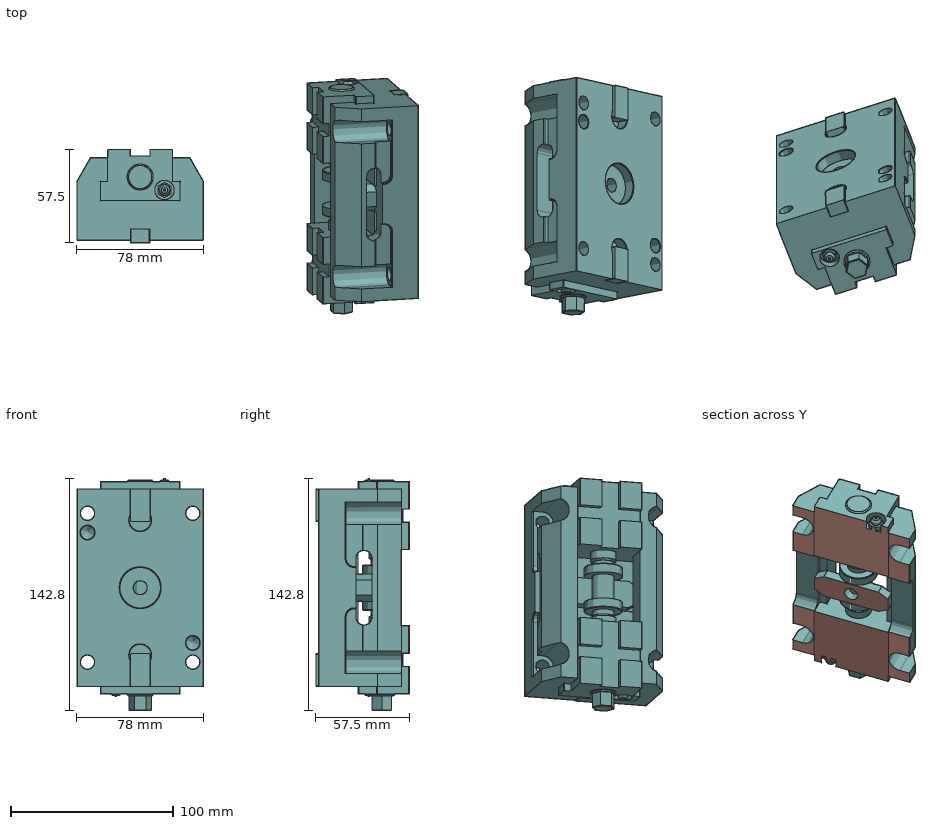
import cadquery as cq
import math


EDGE = 0.4
MOUTH_ANGLE = 45

HOUSING_WIDTH = 78.0
HOUSING_DEPTH = 51.0
HOUSING_LENGTH = 121.8
BEVEL_WIDTH = 8.4
BEVEL_DEPTH = 14.7

HEAD_WIDTH = 40.0
FLANGE_WIDTH = 49.1
FLANGE_BOTTOM = 24.4
FLANGE_TOP = 36.3

JAW_TOP = 56.0
JAW_LENGTH = 42.0
JAW_CENTER_Z = 44.4
JAW_OUTER_Z = JAW_CENTER_Z + JAW_LENGTH / 2
JAW_GROOVE_DEPTH = 4.0
LONG_GROOVE_WIDTH = 12.0
CROSS_GROOVE_WIDTH = 8.0

NIPPLE_X = 15.0
NIPPLE_Y = 31.0
NIPPLE_RECESS_DIAMETER = 12.0
NIPPLE_RECESS_DEPTH = 5.7
NIPPLE_HEX_FLATS = 8.0
NIPPLE_HEX_HEIGHT = 2.9
NIPPLE_NECK_DIAMETER = 5.0
NIPPLE_HEAD_RADIUS = 3.0
NIPPLE_NOSE_RADIUS = 2.0
NIPPLE_NOSE_RISE = 0.9
NIPPLE_TIP_RADIUS = 0.5
NIPPLE_TIP_RISE = 1.7

SPINDLE_Y = 39.0
THREAD_DIAMETER = 16.0
NECK_DIAMETER = 13.5
COLLAR_DIAMETER = 23.5
COLLAR_HALF_LENGTH = 14.0
COLLAR_CHAMFER = 0.4
THREAD_START_Z = 17.1
SPINDLE_TOP_Z = JAW_OUTER_Z + 0.9
SPINDLE_SHOULDER_Z = -(JAW_OUTER_Z + 1.3)
SHOULDER_CHAMFER = 0.9
HEX_ACROSS_FLATS = 12.1
HEX_END_Z = -75.7

WINDOW_WIDTH = 10.0
WINDOW_Y = 28.0
WINDOW_LENGTH = 45.8

BAR_THICKNESS = 16.7
BAR_TAPER = 3.7
BAR_TAPER_ANGLE = 60

SCREW_X = 32.4
SCREW_Z = 45.8
SCREW_DIAMETER = 8.5
CLAMP_POCKET_DIAMETER = 14.0
CLAMP_FLOOR_Y = 17.0
SIDE_SLOT_WIDTH = 10.0
SIDE_SLOT_DEPTH = 3.1
SIDE_SLOT_CHAMFER = 0.5
SIDE_SLOT_END_Z = 13.0

DOWEL_Z = 34.0
DOWEL_DIAMETER = 8.5
DOWEL_DEPTH = 11.4
DOWEL_TIP_ANGLE = 118
DOWEL_CHAMFER = 0.3
CENTER_RECESS_DIAMETER = 25.0
CENTER_RECESS_DEPTH = 6.7
CENTER_HOLE_DIAMETER = 8.5

KEY_WIDTH = 12.0
KEY_LENGTH = 20.3
KEYWAY_DEPTH = 6.9
KEY_PROJECTION = 1.5
KEYWAY_END_DIAMETER = 13.5
KEYWAY_END_Z = 34.8
KEYWAY_CHAMFER = 0.3


def box_between(x0, x1, y0, y1, z0, z1):
    """Box from one corner to the opposite one."""
    return cq.Workplane("XY").box(x1 - x0, y1 - y0, z1 - z0, centered=False).translate((x0, y0, z0))


def rod_along_y(diameter, x, z, y0, y1):
    """Round rod parallel to Y."""
    return cq.Workplane("XZ", origin=(x, y0, z)).circle(diameter / 2).extrude(y0 - y1)


def rod_along_z(diameter, y, z0, z1):
    """Round rod parallel to Z on the middle plane X = 0."""
    return cq.Workplane("XY", origin=(0, y, z0)).circle(diameter / 2).extrude(z1 - z0)


def half_turn(shape):
    """Turn a shape half a turn about the Y axis."""
    return shape.rotate((0, 0, 0), (0, 1, 0), 180)


def with_half_turn_copy(body):
    """Two separate solids: the body and its copy half a turn about Y."""
    solids = []
    for copy in (body, half_turn(body)):
        solids.append(copy.val())
    return solids


def both_ways(shape):
    """A cutting shape together with its copy half a turn about Y."""
    return shape.union(half_turn(shape))


def tee_section(top, z0, z1):
    """T-shaped bar: wide flange below, narrower head up to the given Y."""
    flange = box_between(-FLANGE_WIDTH / 2, FLANGE_WIDTH / 2, FLANGE_BOTTOM, FLANGE_TOP, z0, z1)
    head = box_between(-HEAD_WIDTH / 2, HEAD_WIDTH / 2, FLANGE_BOTTOM, top, z0, z1)
    return flange.union(head)


def make_thrust_bar():
    """Bar across the guide with tapered ends, saddled on the spindle neck."""
    half_length = FLANGE_WIDTH / 2
    half_thickness = BAR_THICKNESS / 2
    end_half = half_thickness - BAR_TAPER
    shoulder_x = half_length - BAR_TAPER * math.tan(math.radians(BAR_TAPER_ANGLE))
    outline = [
        (-half_length, -end_half),
        (-shoulder_x, -half_thickness),
        (shoulder_x, -half_thickness),
        (half_length, -end_half),
        (half_length, end_half),
        (shoulder_x, half_thickness),
        (-shoulder_x, half_thickness),
        (-half_length, end_half),
    ]
    bottom_y = WINDOW_Y - WINDOW_WIDTH / 2
    bar = cq.Workplane("XZ", origin=(0, bottom_y, 0)).polyline(outline).close().extrude(-WINDOW_WIDTH)
    saddle = rod_along_z(NECK_DIAMETER, SPINDLE_Y, -half_thickness, half_thickness)
    hole = rod_along_y(CENTER_HOLE_DIAMETER, 0, 0, 0, SPINDLE_Y)
    return bar.cut(saddle).cut(hole)


def make_housing_block():
    half_width = HOUSING_WIDTH / 2
    bevel_y = HOUSING_DEPTH - BEVEL_DEPTH
    outline = [
        (-half_width, 0),
        (half_width, 0),
        (half_width, bevel_y),
        (half_width - BEVEL_WIDTH, HOUSING_DEPTH),
        (-half_width + BEVEL_WIDTH, HOUSING_DEPTH),
        (-half_width, bevel_y),
    ]
    block = (
        cq.Workplane("XY", origin=(0, 0, -HOUSING_LENGTH / 2))
        .polyline(outline)
        .close()
        .extrude(HOUSING_LENGTH)
    )
    return block.edges("|Z and <Y").chamfer(EDGE)


def window_cutter():
    """Stadium-shaped window through the side wall at -X, down to the guide."""
    wall = (HOUSING_WIDTH - FLANGE_WIDTH) / 2
    return (
        cq.Workplane("YZ", origin=(-HOUSING_WIDTH / 2, WINDOW_Y, 0))
        .slot2D(WINDOW_LENGTH, WINDOW_WIDTH, 90)
        .extrude(wall)
    )


def clamp_pocket_cutter(z):
    """Screw hole and round-ended clamping pocket, open to the side at -X."""
    radius = CLAMP_POCKET_DIAMETER / 2
    hole = rod_along_y(SCREW_DIAMETER, -SCREW_X, z, 0, HOUSING_DEPTH)
    pocket = rod_along_y(CLAMP_POCKET_DIAMETER, -SCREW_X, z, CLAMP_FLOOR_Y, HOUSING_DEPTH)
    mouth = box_between(-HOUSING_WIDTH / 2, -SCREW_X, CLAMP_FLOOR_Y, HOUSING_DEPTH, z - radius, z + radius)
    return hole.union(pocket).union(mouth)


def side_slot_outline(side, growth):
    """Outline on the -X face, from a clamping pocket to a round end near the middle, grown all round."""
    radius = SIDE_SLOT_WIDTH / 2 + growth
    center_y = CLAMP_FLOOR_Y + SIDE_SLOT_WIDTH / 2
    arc_center_z = SIDE_SLOT_END_Z + SIDE_SLOT_WIDTH / 2
    pocket_end_z = side * (SCREW_Z + CLAMP_POCKET_DIAMETER / 2)
    return (
        cq.Workplane("YZ", origin=(-HOUSING_WIDTH / 2, 0, 0))
        .moveTo(center_y - radius, pocket_end_z)
        .lineTo(center_y - radius, side * arc_center_z)
        .threePointArc((center_y, side * (arc_center_z - radius)), (center_y + radius, side * arc_center_z))
        .lineTo(center_y + radius, pocket_end_z)
        .close()
    )


def side_slot_cutter(side):
    """Shallow side slot with a bevelled mouth."""
    slot = side_slot_outline(side, 0).extrude(SIDE_SLOT_DEPTH)
    mouth = side_slot_outline(side, SIDE_SLOT_CHAMFER).extrude(SIDE_SLOT_CHAMFER, taper=MOUTH_ANGLE)
    return slot.union(mouth)


def dowel_hole_cutter():
    """Blind hole with a drilled cone at its bottom and a broken edge at its mouth."""
    radius = DOWEL_DIAMETER / 2
    tip = DOWEL_DEPTH + radius / math.tan(math.radians(DOWEL_TIP_ANGLE / 2))
    profile = [
        (0, 0),
        (radius + DOWEL_CHAMFER, 0),
        (radius, DOWEL_CHAMFER),
        (radius, DOWEL_DEPTH),
        (0, tip),
    ]
    hole = cq.Workplane("XY").polyline(profile).close().revolve(360, (0, 0, 0), (0, 1, 0))
    return hole.translate((-SCREW_X, 0, DOWEL_Z))


def keyway_shape(depth, growth, taper):
    """Key slot at the +Z end with a wider round end, grown sideways and tapering with depth."""
    center_z = KEYWAY_END_Z + KEYWAY_END_DIAMETER / 2
    slot_length = HOUSING_LENGTH / 2 - center_z
    base = cq.Workplane("ZX", origin=(0, 0, center_z))
    slot = (
        base.center(slot_length / 2, 0)
        .rect(slot_length + 2 * growth, KEY_WIDTH + 2 * growth)
        .extrude(depth, taper=taper)
    )
    return slot.union(base.circle(KEYWAY_END_DIAMETER / 2 + growth).extrude(depth, taper=taper))


def keyway_cutter():
    """Keyway with a bevelled mouth."""
    mouth = keyway_shape(KEYWAY_CHAMFER, KEYWAY_CHAMFER, MOUTH_ANGLE)
    return keyway_shape(KEYWAY_DEPTH, 0, 0).union(mouth)


def center_recess_cutter():
    recess = rod_along_y(CENTER_RECESS_DIAMETER, 0, 0, 0, CENTER_RECESS_DEPTH)
    mouth = cq.Workplane("ZX").circle(CENTER_RECESS_DIAMETER / 2 + EDGE).extrude(EDGE, taper=MOUTH_ANGLE)
    return recess.union(mouth).union(rod_along_y(CENTER_HOLE_DIAMETER, 0, 0, 0, SPINDLE_Y))


def bar_slot_cutter():
    """Shallow slot across the floor of the guide, where the thrust bar lies."""
    half_length = FLANGE_WIDTH / 2
    half_thickness = BAR_THICKNESS / 2
    bottom_y = WINDOW_Y - WINDOW_WIDTH / 2
    return box_between(-half_length, half_length, bottom_y, FLANGE_BOTTOM, -half_thickness, half_thickness)


def make_housing():
    housing = make_housing_block()
    housing = housing.cut(tee_section(HOUSING_DEPTH, -HOUSING_LENGTH / 2, HOUSING_LENGTH / 2))
    housing = housing.cut(both_ways(window_cutter()))
    for side in (-1, 1):
        housing = housing.cut(both_ways(clamp_pocket_cutter(side * SCREW_Z)))
        housing = housing.cut(both_ways(side_slot_cutter(side)))
    housing = housing.cut(both_ways(dowel_hole_cutter()))
    housing = housing.cut(both_ways(keyway_cutter()))
    housing = housing.cut(center_recess_cutter())
    return housing.cut(bar_slot_cutter())


def make_nipple():
    floor_z = JAW_OUTER_Z - NIPPLE_RECESS_DEPTH
    neck_radius = NIPPLE_NECK_DIAMETER / 2
    head_z = floor_z + NIPPLE_HEX_HEIGHT
    nose_z = JAW_OUTER_Z + NIPPLE_NOSE_RISE
    tip_z = JAW_OUTER_Z + NIPPLE_TIP_RISE
    base = (
        cq.Workplane("XY", origin=(0, 0, floor_z))
        .polygon(6, NIPPLE_HEX_FLATS, circumscribed=True)
        .extrude(NIPPLE_HEX_HEIGHT)
    )
    nose = (
        cq.Workplane("XZ")
        .moveTo(0, floor_z)
        .lineTo(neck_radius, floor_z)
        .lineTo(neck_radius, head_z)
        .threePointArc((NIPPLE_HEAD_RADIUS, JAW_OUTER_Z), (NIPPLE_NOSE_RADIUS, nose_z))
        .lineTo(NIPPLE_TIP_RADIUS, nose_z)
        .lineTo(NIPPLE_TIP_RADIUS, tip_z)
        .lineTo(0, tip_z)
        .close()
        .revolve(360, (0, 0, 0), (0, 1, 0))
    )
    return base.union(nose).translate((NIPPLE_X, NIPPLE_Y, 0))


def make_jaw():
    inner_z = JAW_OUTER_Z - JAW_LENGTH
    jaw = tee_section(JAW_TOP, inner_z, JAW_OUTER_Z)
    jaw = jaw.edges("|Z and (>X or <X or >Y or <Y)").chamfer(EDGE)
    groove_y = JAW_TOP - JAW_GROOVE_DEPTH
    jaw = jaw.cut(box_between(-LONG_GROOVE_WIDTH / 2, LONG_GROOVE_WIDTH / 2, groove_y, JAW_TOP,
                              inner_z, JAW_OUTER_Z))
    jaw = jaw.cut(box_between(-HEAD_WIDTH / 2, HEAD_WIDTH / 2, groove_y, JAW_TOP,
                              JAW_CENTER_Z - CROSS_GROOVE_WIDTH / 2, JAW_CENTER_Z + CROSS_GROOVE_WIDTH / 2))
    jaw = jaw.cut(rod_along_z(THREAD_DIAMETER, SPINDLE_Y, inner_z, JAW_OUTER_Z))
    recess = rod_along_z(NIPPLE_RECESS_DIAMETER, NIPPLE_Y, JAW_OUTER_Z - NIPPLE_RECESS_DEPTH, JAW_OUTER_Z)
    return jaw.cut(recess.translate((NIPPLE_X, 0, 0))).union(make_nipple())


def make_spindle():
    thread_r = THREAD_DIAMETER / 2
    neck_r = NECK_DIAMETER / 2
    collar_r = COLLAR_DIAMETER / 2
    relief_step = thread_r - neck_r
    groove_z = BAR_THICKNESS / 2
    collar_edge_z = COLLAR_HALF_LENGTH - COLLAR_CHAMFER
    profile = [
        (0, SPINDLE_SHOULDER_Z),
        (thread_r - SHOULDER_CHAMFER, SPINDLE_SHOULDER_Z),
        (thread_r, SPINDLE_SHOULDER_Z + SHOULDER_CHAMFER),
        (thread_r, -THREAD_START_Z - relief_step),
        (neck_r, -THREAD_START_Z),
        (neck_r, -COLLAR_HALF_LENGTH),
        (collar_r - COLLAR_CHAMFER, -COLLAR_HALF_LENGTH),
        (collar_r, -collar_edge_z),
        (collar_r, -groove_z),
        (neck_r, -groove_z),
        (neck_r, groove_z),
        (collar_r, groove_z),
        (collar_r, collar_edge_z),
        (collar_r - COLLAR_CHAMFER, COLLAR_HALF_LENGTH),
        (neck_r, COLLAR_HALF_LENGTH),
        (neck_r, THREAD_START_Z),
        (thread_r, THREAD_START_Z + relief_step),
        (thread_r, SPINDLE_TOP_Z - SHOULDER_CHAMFER),
        (thread_r - SHOULDER_CHAMFER, SPINDLE_TOP_Z),
        (0, SPINDLE_TOP_Z),
    ]
    shaft = cq.Workplane("XZ").polyline(profile).close().revolve(360, (0, 0, 0), (0, 1, 0))
    hex_diameter = HEX_ACROSS_FLATS / math.cos(math.pi / 6)
    hex_drive = (
        cq.Workplane("XY", origin=(0, 0, HEX_END_Z))
        .polygon(6, hex_diameter)
        .extrude(SPINDLE_SHOULDER_Z - HEX_END_Z)
        .faces("<Z")
        .chamfer(EDGE)
    )
    return shaft.union(hex_drive).translate((0, SPINDLE_Y, 0))


def make_key():
    end_z = HOUSING_LENGTH / 2
    key = box_between(-KEY_WIDTH / 2, KEY_WIDTH / 2, -KEY_PROJECTION, KEYWAY_DEPTH, end_z - KEY_LENGTH, end_z)
    return key.edges("|Y").chamfer(EDGE)


housing = make_housing()
thrust_bar = make_thrust_bar()
spindle = make_spindle()
jaws = with_half_turn_copy(make_jaw())
keys = with_half_turn_copy(make_key())

result = cq.Compound.makeCompound([housing.val(), thrust_bar.val(), spindle.val(), *jaws, *keys])